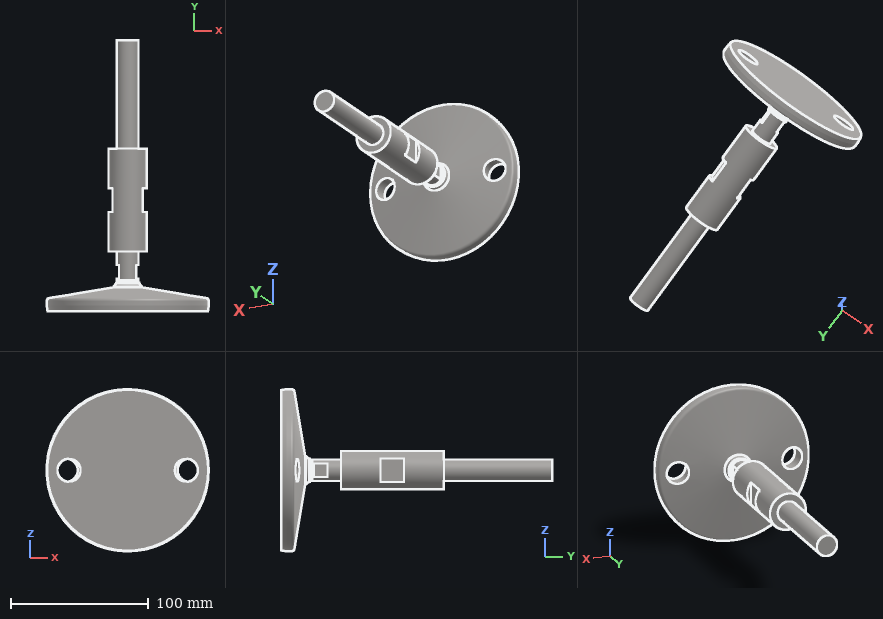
import cadquery as cq
import math

total_length = 197.0

foot_diameter = 118.0
foot_radius = foot_diameter / 2
rim_taper = 0.5
foot_base_radius = foot_radius - rim_taper
rim_bottom = 4.1
rim_top = 7.3
rim_round = 2.5
cone_angle = math.radians(9.4)
cone_outer_radius = foot_radius - rim_round * (1 - math.sin(cone_angle))
cone_bottom = rim_top + rim_round * math.cos(cone_angle)
collar_base_radius = 10.5
collar_bottom = cone_bottom + (cone_outer_radius - collar_base_radius) * math.tan(cone_angle)
collar_step = 0.4
collar_neck_radius = 8.3
collar_neck_height = 20.3
collar_lip_radius = 8.7
collar_lip_height = 20.9
foot_top = 21.7

hole_diameter = 16.5
hole_offset = 42.5
hole_overrun = 19.7

spindle_diameter = 16.0
spindle_radius = spindle_diameter / 2
neck_radius = 6.5
neck_top = 21.9
shoulder_height = 22.7
socket_floor = 17.5
spindle_flat_bottom = 23.8
spindle_flat_length = 9.7
spindle_across_flats = 12.8

sleeve_diameter = 28.0
sleeve_bottom = 43.3
sleeve_length = 74.9
sleeve_across_flats = 22.0
sleeve_flat_length = 17.0
sleeve_flat_bottom = sleeve_bottom + (sleeve_length - sleeve_flat_length) / 2


def cylinder(radius, bottom, length):
    """Cylinder on the shared axis, starting at Y = bottom."""
    return cq.Workplane(cq.Solid.makeCylinder(radius, length, cq.Vector(0, bottom, 0), cq.Vector(0, 1, 0)))


def cut_wrench_flats(body, diameter, across_flats, bottom, length):
    """Cut two opposite flats, facing -X and +X."""
    for side in (-1, 1):
        center_x = side * (across_flats + diameter) / 2
        cutter = cq.Workplane().box(diameter, length, diameter)
        body = body.cut(cutter.translate((center_x, bottom + length / 2, 0)))
    return body


def make_foot():
    """Conical foot with a rounded rim, a flared collar, a spindle socket and two tilted holes."""
    foot = (
        cq.Workplane("XY")
        .lineTo(foot_base_radius, 0)
        .lineTo(foot_radius, rim_bottom)
        .lineTo(foot_radius, rim_top)
        .tangentArcPoint((cone_outer_radius, cone_bottom), relative=False)
        .lineTo(collar_base_radius, collar_bottom)
        .lineTo(collar_base_radius, collar_bottom + collar_step)
        .lineTo(collar_neck_radius, collar_neck_height)
        .lineTo(collar_lip_radius, collar_lip_height)
        .lineTo(neck_radius, foot_top)
        .lineTo(0, foot_top)
        .close()
        .revolve(360, (0, 0, 0), (0, 1, 0))
    )
    foot = foot.cut(cylinder(neck_radius, socket_floor, foot_top - socket_floor))
    for side in (-1, 1):
        direction = cq.Vector(side * math.sin(cone_angle), math.cos(cone_angle), 0)
        start = cq.Vector(side * hole_offset, 0, 0) - direction * hole_overrun
        drill = cq.Solid.makeCylinder(hole_diameter / 2, 2 * hole_overrun, start, direction)
        foot = foot.cut(cq.Workplane(drill))
    return foot


def make_spindle():
    """Round rod with a narrow neck seated in the foot and wrench flats above the neck."""
    spindle = (
        cq.Workplane("XY")
        .moveTo(0, socket_floor)
        .lineTo(neck_radius, socket_floor)
        .lineTo(neck_radius, neck_top)
        .lineTo(spindle_radius, shoulder_height)
        .lineTo(spindle_radius, total_length)
        .lineTo(0, total_length)
        .close()
        .revolve(360, (0, 0, 0), (0, 1, 0))
    )
    return cut_wrench_flats(
        spindle, spindle_diameter, spindle_across_flats, spindle_flat_bottom, spindle_flat_length
    )


def make_sleeve():
    """Tube around the spindle with wrench flats at mid-length."""
    sleeve = cylinder(sleeve_diameter / 2, sleeve_bottom, sleeve_length)
    sleeve = sleeve.cut(cylinder(spindle_radius, sleeve_bottom, sleeve_length))
    return cut_wrench_flats(
        sleeve, sleeve_diameter, sleeve_across_flats, sleeve_flat_bottom, sleeve_flat_length
    )


foot = make_foot()
spindle = make_spindle()
sleeve = make_sleeve()

result = cq.Compound.makeCompound([foot.val(), spindle.val(), sleeve.val()])